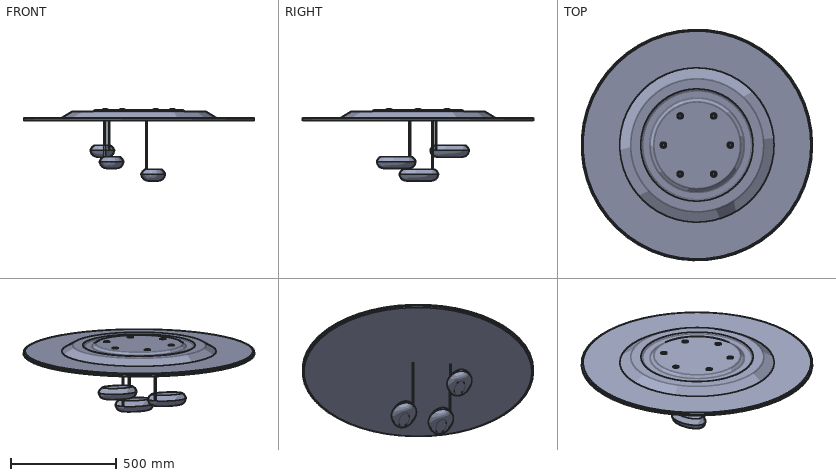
import cadquery as cq
import math

RIM_TOP = 16.0
CONE_TOP = 46.0
GROOVE_FLOOR = 42.0
PLATE_TOP = 54.0
SCREW_TOP = 57.0

DISC_RADIUS = 550.0
RIM_BEVEL_WIDTH = 8.0
RIM_BEVEL_HEIGHT = 4.0
CONE_BASE_RADIUS = 367.0
CONE_TOP_RADIUS = 317.0
GROOVE_RADIUS_TOP = 267.0
GROOVE_RADIUS_FLOOR = 260.0
PLATE_RADIUS_FLOOR = 224.0
PLATE_RADIUS_TOP = 207.0

SCREW_COUNT = 6
SCREW_CIRCLE_RADIUS = 160.0
SCREW_BASE_RADIUS = 14.0
SCREW_TOP_RADIUS = 8.0

EDGE_FILLET = 5.0
EDGE_TOLERANCE = 0.001

ROD_RADIUS = 4.0
ROD_SEAT_DEPTH = 20.0
ROD_OFFSET_X = 32.0
ROD_OFFSET_Y = -65.0
PEBBLE_HALF_LENGTH = 94.0
PEBBLE_HALF_WIDTH = 58.0
PEBBLE_UPPER_HEIGHT = 24.0
PEBBLE_LOWER_HEIGHT = 33.0
UPPER_SECTIONS = [(0.0, 0.0), (0.4, 4.0), (1.0, 20.0)]
LOWER_SECTIONS = [(0.0, 0.0), (0.35, 3.0), (0.7, 11.0), (0.9, 22.0), (1.0, 35.0)]

PENDANTS = [
    (-142.0, 86.0, -173.0, 0),
    (-162.0, -38.0, -227.0, 180),
    (36.0, 69.0, -286.0, 180),
]


def make_profile_body():
    """Solid disc with a raised cone, a shallow ring groove and a top plate."""
    return (
        cq.Workplane("XZ")
        .moveTo(0, 0)
        .lineTo(DISC_RADIUS - RIM_BEVEL_WIDTH, 0)
        .lineTo(DISC_RADIUS, RIM_BEVEL_HEIGHT)
        .lineTo(DISC_RADIUS, RIM_TOP - RIM_BEVEL_HEIGHT)
        .lineTo(DISC_RADIUS - RIM_BEVEL_WIDTH, RIM_TOP)
        .lineTo(CONE_BASE_RADIUS, RIM_TOP)
        .lineTo(CONE_TOP_RADIUS, CONE_TOP)
        .lineTo(GROOVE_RADIUS_TOP, CONE_TOP)
        .lineTo(GROOVE_RADIUS_FLOOR, GROOVE_FLOOR)
        .lineTo(PLATE_RADIUS_FLOOR, GROOVE_FLOOR)
        .lineTo(PLATE_RADIUS_TOP, PLATE_TOP)
        .lineTo(0, PLATE_TOP)
        .close()
        .revolve(360, (0, 0, 0), (0, 1, 0))
    )


def round_edges(body):
    """Round the circular edges of the cone, groove and plate."""
    for radius, height in [
        (CONE_TOP_RADIUS, CONE_TOP),
        (GROOVE_RADIUS_FLOOR, GROOVE_FLOOR),
        (PLATE_RADIUS_FLOOR, GROOVE_FLOOR),
        (PLATE_RADIUS_TOP, PLATE_TOP),
    ]:
        edge = [
            circle
            for circle in body.edges("%CIRCLE").vals()
            if math.isclose(circle.radius(), radius, abs_tol=EDGE_TOLERANCE)
            and math.isclose(circle.startPoint().z, height, abs_tol=EDGE_TOLERANCE)
        ]
        body = body.newObject(edge).fillet(EDGE_FILLET)
    return body


def add_screw_heads(body):
    """Add the ring of tapered screw heads on the top plate."""
    for index in range(SCREW_COUNT):
        angle = 2 * math.pi * index / SCREW_COUNT
        centre = cq.Vector(
            SCREW_CIRCLE_RADIUS * math.cos(angle),
            SCREW_CIRCLE_RADIUS * math.sin(angle),
            PLATE_TOP,
        )
        head = cq.Solid.makeCone(
            SCREW_BASE_RADIUS, SCREW_TOP_RADIUS, SCREW_TOP - PLATE_TOP, centre
        )
        body = body.union(cq.Workplane(head))
    return body


def make_disc():
    """Disc with rounded edges and screw heads as one solid."""
    return add_screw_heads(round_edges(make_profile_body())).solids()


def make_pebble_half(sections, height):
    """Loft ellipses from the widest section at z = 0 to the signed height."""
    wires = []
    for share, inset in sections:
        wires.append(
            cq.Wire.makeEllipse(
                PEBBLE_HALF_LENGTH - inset,
                PEBBLE_HALF_WIDTH - inset,
                cq.Vector(0, 0, share * height),
                cq.Vector(0, 0, 1),
                cq.Vector(0, 1, 0),
            )
        )
    return cq.Workplane(cq.Solid.makeLoft(wires))


def make_rod(x, y, pebble_bottom):
    """Rod from the underside of the disc down into the pebble's socket."""
    pebble_top = pebble_bottom + PEBBLE_LOWER_HEIGHT + PEBBLE_UPPER_HEIGHT
    rod_bottom = pebble_top - ROD_SEAT_DEPTH
    return cq.Workplane("XY", origin=(x, y, rod_bottom)).circle(ROD_RADIUS).extrude(-rod_bottom)


def make_pebble(x, y, pebble_bottom, turn, rod):
    """Long rounded pebble with a socket that fits its rod."""
    upper = make_pebble_half(UPPER_SECTIONS, PEBBLE_UPPER_HEIGHT)
    lower = make_pebble_half(LOWER_SECTIONS, -PEBBLE_LOWER_HEIGHT)
    pebble = (
        upper.union(lower)
        .translate((-ROD_OFFSET_X, -ROD_OFFSET_Y, 0))
        .rotate((0, 0, 0), (0, 0, 1), turn)
        .translate((x, y, pebble_bottom + PEBBLE_LOWER_HEIGHT))
    )
    return pebble.cut(rod).solids()


disc = make_disc()
rods = []
pebbles = []
for rod_x, rod_y, bottom, turn in PENDANTS:
    rod = make_rod(rod_x, rod_y, bottom)
    rods.append(rod.val())
    pebbles.append(make_pebble(rod_x, rod_y, bottom, turn, rod).val())

result = cq.Compound.makeCompound([disc.val(), *rods, *pebbles])